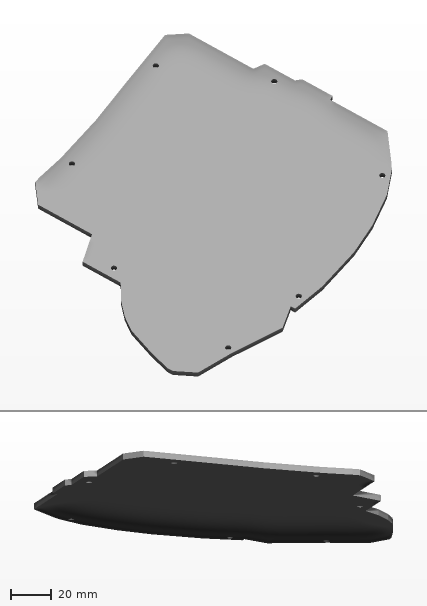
import cadquery as cq

width = 157.0
length = 189.7
thickness = 3.0
hole_diameter = 3.0

back_shoulder_y = 187.0
back_left_y = 181.2
front_left_y = 48.4
front_step_y = 31.3
notch_y = 67.7

left_waist_x = 4.0
left_front_x = 2.7

back_edge = [
    (0, 173.5),
    (9.1, back_left_y),
    (48.2, back_left_y),
    (50.8, back_shoulder_y),
    (69.2, back_shoulder_y),
    (71.7, length),
    (90.1, length),
    (90.7, back_shoulder_y),
    (125.4, back_shoulder_y),
]

right_edge = [
    (139.2, 171.1),
    (141.5, 168.0),
    (149.0, 153.5),
    (154.5, 133.4),
    (width, 114.2),
    (width, 87.0),
    (154.5, notch_y),
    (151.8, notch_y),
    (156.5, 54.0),
    (145.5, 26.4),
    (139.2, 6.5),
]

front_edge = [
    (128.5, 0),
    (125.2, 0),
    (113.0, 3.5),
    (96.7, 9.3),
    (89.0, 14.6),
    (81.2, 22.2),
    (77.2, 27.7),
    (74.5, front_step_y),
    (51.5, front_step_y),
    (45.0, front_left_y),
    (12.3, front_left_y),
]

left_edge = [
    (left_front_x, 59.4),
    (left_front_x, 63.4),
    (left_waist_x, 79.1),
    (left_waist_x, 109.5),
    (2.3, 134.9),
]

hole_centres = [
    (61.3, 180.5),
    (139.8, 162.4),
    (151.2, 75.3),
    (142.0, 28.0),
    (66.4, 37.0),
    (10.6, 79.5),
    (7.8, 154.8),
]


def make_plate():
    """Flat plate bounded by the four edges."""
    outline = back_edge + right_edge + front_edge + left_edge
    return cq.Workplane("XY").polyline(outline).close().extrude(thickness)


def make_holes():
    """Screw holes that pass through the plate near its rim."""
    return cq.Workplane("XY").pushPoints(hole_centres).circle(hole_diameter / 2).extrude(thickness)


result = make_plate().cut(make_holes())